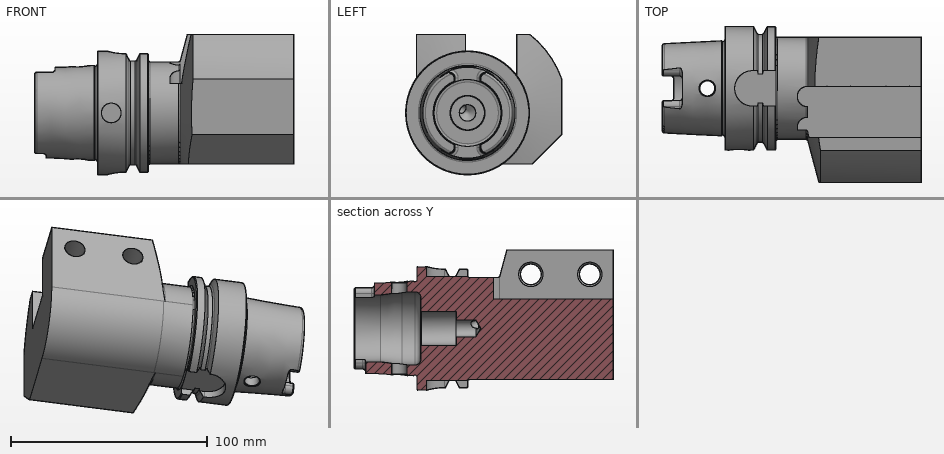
import cadquery as cq
import math


shank_length = 31.9
taper_gauge_x = -6.3
taper_gauge_radius = 24.0
taper_slope = 0.05
shank_nose_length = 1.3
shank_nose_step = 1.3
undercut_start_x = -1.7
undercut_x = -1.2
undercut_radius = 23.8
undercut_fillet = 1.2

bore_radius = 17.0
bore_mouth_chamfer = 0.5
bore_end_x = -18.4
chamber_radius = 18.5
chamber_cone_end_x = -7.6
chamber_floor_x = 2.0
chamber_floor_fillet = 2.8
tube_seat_radius = 8.6
tube_seat_chamfer = 0.3
tube_seat_depth = 18.0
coolant_radius = 4.2
coolant_depth = 10.0
drill_tip_angle = 118.0
coolant_branch_radius = 2.3
coolant_branch_length = 15.0
coolant_branch_offset = 3.4
coolant_branch_tilt = 45.0
coolant_branch_roll = 36.0

drive_slot_half_width = 6.27
drive_slot_round = 3.0
drive_slot_shelf_z = 20.7
drive_slot_end_fillet = 1.5
drive_slot_mouth_chamfer = 0.6
upper_slot_end_x = -21.6
lower_slot_end_x = -26.0

access_hole_x = -8.9
access_hole_radius = 3.8
access_hole_chamfer = 0.4

flange_radius = 31.5
flange_width = 26.0
flange_front_chamfer = 0.3
flange_rear_chamfer = 0.5
groove_centre_x = 18.1
groove_mouth_width = 7.0
groove_throat_width = 3.8
groove_floor_width = 2.3
groove_throat_radius = 28.4
groove_floor_radius = 27.5

gripper_slot_half_width = 9.0
gripper_slot_start_x = 5.0
gripper_slot_floor = 26.5

chip_hole_x = 7.1
chip_hole_radius = 5.0
chip_hole_depth = 4.6

neck_radius = 26.0
neck_fillet = 0.8
block_start_x = 42.0
block_end_x = 100.0
block_face_angle = 15.0
block_fillet = 1.0
block_outer_radius = 51.0
block_top_z = 40.0
block_side_y = -48.0
block_bottom_chamfer = 15.0
block_envelope_margin = 2.0

seat_wall_y = 1.0
seat_width = 26.0
seat_floor_z = 15.0
seat_relief_radius = 5.15

screw_hole_positions_x = (58.0, 88.0)
screw_hole_z = (block_top_z + seat_floor_z) / 2
screw_hole_radius = 5.2
screw_hole_mouth_radius = 6.2


def taper_radius(x):
    """Radius of the shank taper at the axial position x."""
    return taper_gauge_radius + taper_slope * (x - taper_gauge_x)


def revolve_about_x(outline):
    """Revolve an XY outline (axial position, radius) about the X axis."""
    return outline.close().revolve(360, (0, 0, 0), (1, 0, 0))


def turned_body():
    """Shank, flange and neck as one turned solid."""
    front_x = -shank_length
    nose_x = front_x + shank_nose_length
    nose_radius = taper_radius(nose_x)
    nose_mid = math.sqrt(0.5)
    groove_left = groove_centre_x - groove_mouth_width / 2
    groove_right = groove_centre_x + groove_mouth_width / 2
    throat = groove_throat_width / 2
    floor = groove_floor_width / 2
    outline = (
        cq.Workplane("XY")
        .moveTo(front_x, 0)
        .lineTo(front_x, nose_radius - shank_nose_step)
        .threePointArc(
            (nose_x - shank_nose_length * nose_mid, nose_radius - shank_nose_step * (1 - nose_mid)),
            (nose_x, nose_radius),
        )
        .lineTo(undercut_start_x, taper_radius(undercut_start_x))
        .lineTo(undercut_x, undercut_radius)
        .radiusArc((0, undercut_radius + undercut_fillet), -undercut_fillet)
        .lineTo(0, flange_radius - flange_front_chamfer)
        .lineTo(flange_front_chamfer, flange_radius)
        .lineTo(groove_left, flange_radius)
        .lineTo(groove_centre_x - throat, groove_throat_radius)
        .lineTo(groove_centre_x - floor, groove_floor_radius)
        .lineTo(groove_centre_x + floor, groove_floor_radius)
        .lineTo(groove_centre_x + throat, groove_throat_radius)
        .lineTo(groove_right, flange_radius)
        .lineTo(flange_width - flange_rear_chamfer, flange_radius)
        .lineTo(flange_width, flange_radius - flange_rear_chamfer)
        .lineTo(flange_width, neck_radius + neck_fillet)
        .radiusArc((flange_width + neck_fillet, neck_radius), -neck_fillet)
        .lineTo(block_start_x, neck_radius)
        .lineTo(block_start_x, 0)
    )
    return revolve_about_x(outline)


def block_envelope():
    """Turned limit of the block: the neck, a fillet and a shallow conical front face."""
    slope = math.tan(math.radians(block_face_angle))
    fillet_reach = block_fillet * math.tan(math.radians(90 - block_face_angle) / 2)
    envelope_radius = block_outer_radius + block_envelope_margin
    cone_angle = math.radians(90 - block_face_angle)
    fillet_end = (
        block_start_x + fillet_reach * math.cos(cone_angle),
        neck_radius + fillet_reach * math.sin(cone_angle),
    )
    outline = (
        cq.Workplane("XY")
        .moveTo(flange_width, 0)
        .lineTo(flange_width, neck_radius)
        .lineTo(block_start_x - fillet_reach, neck_radius)
        .radiusArc(fillet_end, -block_fillet)
        .lineTo(block_start_x + slope * (envelope_radius - neck_radius), envelope_radius)
        .lineTo(block_end_x, envelope_radius)
        .lineTo(block_end_x, 0)
    )
    return revolve_about_x(outline)


def clamping_block():
    """Block section swept along X and trimmed by the conical front face."""
    top_y = -math.sqrt(block_outer_radius**2 - block_top_z**2)
    side_z = math.sqrt(block_outer_radius**2 - block_side_y**2)
    section = (
        cq.Workplane("YZ", origin=(flange_width, 0, 0))
        .moveTo(neck_radius, block_top_z)
        .lineTo(top_y, block_top_z)
        .radiusArc((block_side_y, side_z), -block_outer_radius)
        .lineTo(block_side_y, -neck_radius + block_bottom_chamfer)
        .lineTo(block_side_y + block_bottom_chamfer, -neck_radius)
        .lineTo(0, -neck_radius)
        .radiusArc((neck_radius, 0), -neck_radius)
        .close()
    )
    return section.extrude(block_end_x - flange_width).intersect(block_envelope())


def tool_seat():
    """Square tool seat with a round relief at each front corner."""
    height = block_top_z - seat_floor_z
    far_wall_y = seat_wall_y - seat_width
    seat = cq.Workplane("XY", origin=(block_start_x, far_wall_y, seat_floor_z)).box(
        block_end_x - block_start_x, seat_width, height, centered=False
    )
    relief_centres = [
        (block_start_x, seat_wall_y - seat_relief_radius),
        (block_start_x, far_wall_y + seat_relief_radius),
    ]
    reliefs = (
        cq.Workplane("XY", origin=(0, 0, seat_floor_z))
        .pushPoints(relief_centres)
        .circle(seat_relief_radius)
        .extrude(height)
    )
    return seat.union(reliefs)


def screw_holes():
    """Clamping screw holes through the narrow arm, countersunk at the seat wall."""
    arm_thickness = neck_radius - seat_wall_y
    countersink = screw_hole_mouth_radius - screw_hole_radius
    holes = cq.Workplane("XY")
    for x in screw_hole_positions_x:
        plane = cq.Plane(origin=(x, seat_wall_y, screw_hole_z), xDir=(1, 0, 0), normal=(0, 1, 0))
        hole = cq.Workplane(plane).circle(screw_hole_radius).extrude(arm_thickness)
        mouth = cq.Workplane(plane).circle(screw_hole_mouth_radius).extrude(countersink, taper=45)
        holes = holes.add(hole.union(mouth))
    return holes.combine()


def clamping_bore():
    """Bore from the shank mouth through the widened clamping chamber to the coolant drilling."""
    front_x = -shank_length
    seat_end_x = chamber_floor_x + tube_seat_depth
    coolant_end_x = seat_end_x + coolant_depth
    tip_length = coolant_radius / math.tan(math.radians(drill_tip_angle / 2))
    outline = (
        cq.Workplane("XY")
        .moveTo(front_x, 0)
        .lineTo(front_x, bore_radius + bore_mouth_chamfer)
        .lineTo(front_x + bore_mouth_chamfer, bore_radius)
        .lineTo(bore_end_x, bore_radius)
        .lineTo(chamber_cone_end_x, chamber_radius)
        .lineTo(chamber_floor_x - chamber_floor_fillet, chamber_radius)
        .radiusArc((chamber_floor_x, chamber_radius - chamber_floor_fillet), chamber_floor_fillet)
        .lineTo(chamber_floor_x, tube_seat_radius + tube_seat_chamfer)
        .lineTo(chamber_floor_x + tube_seat_chamfer, tube_seat_radius)
        .lineTo(seat_end_x, tube_seat_radius)
        .lineTo(seat_end_x, coolant_radius)
        .lineTo(coolant_end_x, coolant_radius)
        .lineTo(coolant_end_x + tip_length, 0)
    )
    return revolve_about_x(outline)


def coolant_branch():
    """Blind drilling that leaves the coolant bore end, tilted outward toward +Y and +Z."""
    bore_end = chamber_floor_x + tube_seat_depth + coolant_depth
    tilt = math.radians(coolant_branch_tilt)
    start_x = bore_end - coolant_branch_offset / math.tan(tilt)
    plane = cq.Plane(
        origin=(start_x, 0, 0),
        xDir=(-math.sin(tilt), math.cos(tilt), 0),
        normal=(math.cos(tilt), math.sin(tilt), 0),
    )
    branch = cq.Workplane(plane).circle(coolant_branch_radius).extrude(coolant_branch_length)
    return branch.rotate((0, 0, 0), (1, 0, 0), coolant_branch_roll)


def drive_slot_section(growth):
    """Drive slot section at the shank mouth, offset outward by growth."""
    half_width = drive_slot_half_width + growth
    rounding = drive_slot_round - growth
    shelf_z = drive_slot_shelf_z - growth
    shelf_end_y = half_width + rounding
    outer = taper_gauge_radius
    return (
        cq.Workplane("YZ", origin=(-shank_length, 0, 0))
        .moveTo(-half_width, 0)
        .lineTo(half_width, 0)
        .lineTo(half_width, shelf_z - rounding)
        .radiusArc((shelf_end_y, shelf_z), rounding)
        .lineTo(outer, shelf_z)
        .lineTo(outer, outer)
        .lineTo(-outer, outer)
        .lineTo(-outer, shelf_z)
        .lineTo(-shelf_end_y, shelf_z)
        .radiusArc((-half_width, shelf_z - rounding), rounding)
        .close()
    )


def drive_slot(end_x):
    """Drive slot on the +Z side, with a filleted end and a chamfered mouth."""
    slot = drive_slot_section(0).extrude(end_x + shank_length)
    margin = 1.0
    reach_y = taper_gauge_radius - margin
    end_wall_edges = cq.selectors.BoxSelector(
        (end_x - margin, -reach_y, margin),
        (end_x + margin, reach_y, drive_slot_shelf_z + margin),
    )
    slot = slot.edges(end_wall_edges).fillet(drive_slot_end_fillet)
    mouth = drive_slot_section(drive_slot_mouth_chamfer).extrude(drive_slot_mouth_chamfer, taper=45)
    return slot.union(mouth)


def gripper_slot():
    """Round-ended flat slot across the flange on the +Z side."""
    round_centre_x = gripper_slot_start_x + gripper_slot_half_width
    height = flange_radius - gripper_slot_floor
    return (
        cq.Workplane("XY", origin=(0, 0, gripper_slot_floor))
        .moveTo(flange_width, -gripper_slot_half_width)
        .lineTo(round_centre_x, -gripper_slot_half_width)
        .threePointArc((gripper_slot_start_x, 0), (round_centre_x, gripper_slot_half_width))
        .lineTo(flange_width, gripper_slot_half_width)
        .close()
        .extrude(height)
    )


def access_hole():
    """Countersunk radial hole through the +Z wall of the shank."""
    mouth_radius = access_hole_radius + access_hole_chamfer
    mouth_z = math.sqrt(taper_radius(access_hole_x) ** 2 - mouth_radius**2)
    hole_plane = cq.Workplane("XY", origin=(access_hole_x, 0, 0))
    hole = hole_plane.circle(access_hole_radius).extrude(flange_radius)
    mouth_plane = cq.Workplane("XY", origin=(access_hole_x, 0, mouth_z))
    countersink = mouth_plane.circle(mouth_radius).extrude(-access_hole_chamfer, taper=45)
    mouth = mouth_plane.circle(mouth_radius).extrude(flange_radius - mouth_z).union(countersink)
    return hole.union(mouth)


def chip_hole():
    """Flat-bottomed hole in the -Y side of the flange."""
    floor_y = -flange_radius + chip_hole_depth
    return (
        cq.Workplane("XZ", origin=(chip_hole_x, floor_y, 0))
        .circle(chip_hole_radius)
        .extrude(chip_hole_depth)
    )


def on_lower_side(cutter):
    """The same cutter turned half way round the tool axis."""
    return cutter.rotate((0, 0, 0), (1, 0, 0), 180)


result = turned_body().union(clamping_block())
result = result.cut(tool_seat()).cut(screw_holes())
result = result.cut(clamping_bore()).cut(coolant_branch())
result = result.cut(drive_slot(upper_slot_end_x)).cut(on_lower_side(drive_slot(lower_slot_end_x)))
result = result.cut(gripper_slot()).cut(on_lower_side(gripper_slot()))
result = result.cut(access_hole()).cut(on_lower_side(access_hole()))
result = result.cut(chip_hole())